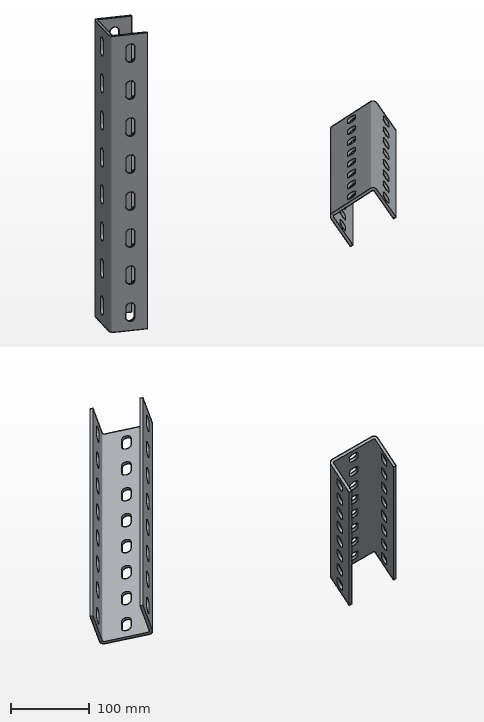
import cadquery as cq

length = 400.0
width = 70.0
depth = 50.0
thickness = 4.0
inner_bend_radius = 2.0
outer_bend_radius = inner_bend_radius + thickness

slot_count = 8
slot_pitch = length / slot_count
slot_length = slot_pitch / 2
slot_width = slot_length / 2
flange_slot_y = (thickness + depth) / 2


def make_channel():
    """Bent U channel standing along Z, centred on X, outer web face at Y = 0."""
    block = cq.Workplane("XY").box(width, depth, length, centered=(True, False, False))
    outer = block.edges("|Z and <Y").fillet(outer_bend_radius)
    inner = (
        cq.Workplane("XY")
        .box(width - 2 * thickness, depth - thickness, length, centered=(True, False, False))
        .translate((0, thickness, 0))
        .edges("|Z and <Y")
        .fillet(inner_bend_radius)
    )
    return outer.cut(inner)


def slot_cutters(plane, across, reach):
    """Column of upright slots on a vertical plane, reaching equally to both sides of it."""
    centres = [(across, (i + 0.5) * slot_pitch) for i in range(slot_count)]
    return (
        cq.Workplane(plane)
        .pushPoints(centres)
        .slot2D(slot_length, slot_width, 90)
        .extrude(reach, both=True)
    )


web_slots = slot_cutters("XZ", 0, depth)
flange_slots = slot_cutters("YZ", flange_slot_y, width)

result = make_channel().cut(web_slots).cut(flange_slots)